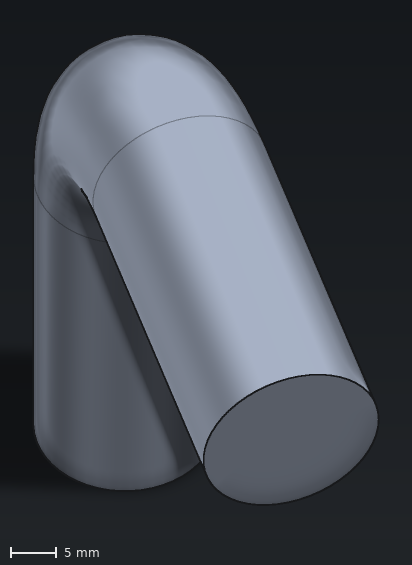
import cadquery as cq


bar_diameter = 20.0
leg_length = 40.0
bend_radius = 20.0

bend_start_z = leg_length
bend_end_z = bend_start_z + bend_radius


def leg(start_plane):
    """Straight round leg extruded along the normal of its start plane."""
    return cq.Workplane(start_plane).circle(bar_diameter / 2).extrude(leg_length)


def bend():
    """Quarter-turn elbow from +Z to +X, revolved about a Y-parallel axis."""
    return (
        cq.Workplane("XY", origin=(0, 0, bend_start_z))
        .circle(bar_diameter / 2)
        .revolve(90, (bend_radius, 0), (bend_radius, 1))
    )


vertical_leg = leg(cq.Plane.named("XY"))
horizontal_leg = leg(cq.Plane.named("YZ", origin=(bend_radius, 0, bend_end_z)))

result = vertical_leg.union(bend()).union(horizontal_leg)